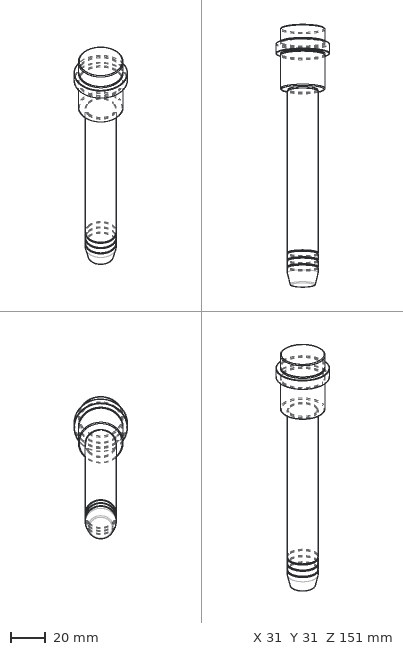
import cadquery as cq

total_height = 151.0
flange_top = 142.1
flange_thickness = 6.0
flange_bottom = flange_top - flange_thickness
head_bottom = 115.0
taper_top = 7.2

flange_radius = 31.0 / 2
head_radius = 26.0 / 2
shank_radius = 18.0 / 2
tip_radius = 7.2

head_chamfer = 0.6
flange_chamfer = 0.3
tip_fillet = 0.8
relief_width = 1.0
relief_depth = 0.5
neck_height = 0.9
neck_depth = 0.5
groove_width = 0.9
groove_depth = 0.3
groove_bottoms = (18.1, 14.0, 10.0)


def cylinder(radius, bottom, top):
    return cq.Workplane("XY").workplane(offset=bottom).circle(radius).extrude(top - bottom)


def cut_v_groove(body, radius, depth, bottom, width):
    """Cut a V-shaped ring groove into a cylinder of the given radius."""
    ring = (
        cq.Workplane("XZ")
        .moveTo(radius, bottom)
        .lineTo(radius - depth, bottom + width / 2)
        .lineTo(radius, bottom + width)
        .close()
        .revolve(360, (0, 0, 0), (0, 1, 0))
    )
    return body.cut(ring)


head = cylinder(head_radius, head_bottom, total_height)
head = head.faces("<Z or >Z").edges().chamfer(head_chamfer)
for relief_bottom in (flange_top, flange_bottom - relief_width):
    head = cut_v_groove(head, head_radius, relief_depth, relief_bottom, relief_width)

flange = cylinder(flange_radius, flange_bottom, flange_top)
flange = flange.faces("<Z or >Z").edges().chamfer(flange_chamfer)

neck_bottom = head_bottom - neck_height
neck = cylinder(shank_radius - neck_depth, neck_bottom, head_bottom)
shank = cylinder(shank_radius, taper_top, neck_bottom)
for groove_bottom in groove_bottoms:
    shank = cut_v_groove(shank, shank_radius, groove_depth, groove_bottom, groove_width)

tip = (
    cq.Workplane("XY")
    .circle(tip_radius)
    .workplane(offset=taper_top)
    .circle(shank_radius)
    .loft()
    .faces("<Z")
    .edges()
    .fillet(tip_fillet)
)

result = head.union(flange).union(neck).union(shank).union(tip)